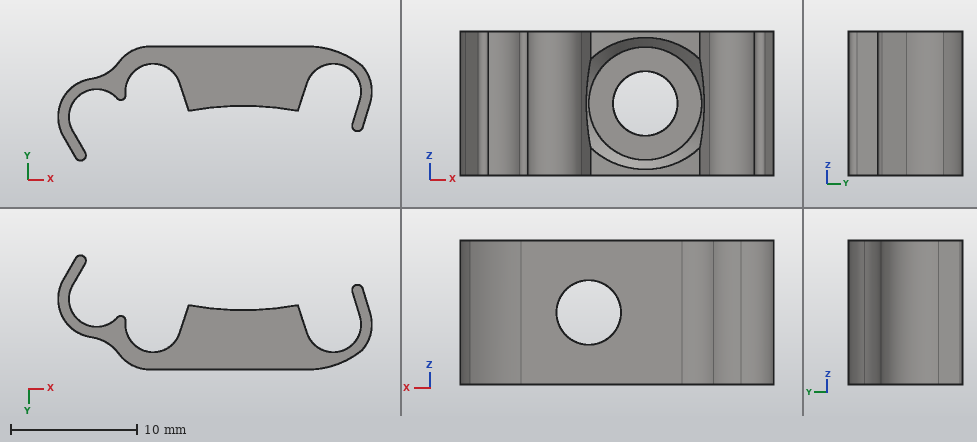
import cadquery as cq
import math

length = 24.85
width = 11.43

groove_radius = 2.19
lip_thickness = 0.87
shell_radius = groove_radius + lip_thickness
lip_mid_radius = groove_radius + lip_thickness / 2
roof_thickness = 1.4

low_groove = (shell_radius, -5.6)
middle_groove = (7.53, -roof_thickness - groove_radius)
end_groove = (length - shell_radius, middle_groove[1])

low_lip_lean = 30
end_lip_lean = 17
low_lip_length = 1.99
end_lip_length = 2.04

block_center_x = (middle_groove[0] + end_groove[0]) / 2
block_half_width = 4.32
block_corner_y = -5.12
block_arch_y = -4.72

back_start_x = 7.28
back_end_x = 20.05
shoulder_radius = shell_radius
saddle_radius = 3.23
back_round_mid = (22.48, -0.57)
back_round_end_angle = 42

ridge_radius = 0.37
ridge_mid_angle = 270

hole_diameter = 5.1
seat_diameter = 8.95
seat_rim_diameter = 10.43
seat_floor_y = -1.8
seat_taper_y = -3.85


def polar(center, radius, angle):
    """Point on a circle, with the angle in degrees counterclockwise from +X."""
    turn = math.radians(angle)
    return (center[0] + radius * math.cos(turn), center[1] + radius * math.sin(turn))


def direction(start, end):
    """Angle in degrees from one point to another."""
    return math.degrees(math.atan2(end[1] - start[1], end[0] - start[0]))


def make_profile():
    low_side = 180 + low_lip_lean
    low_tail = low_side + 90
    end_side = -end_lip_lean
    end_tail = end_side - 90
    low_tip = polar(polar(low_groove, lip_mid_radius, low_side), low_lip_length, low_tail)
    end_tip = polar(polar(end_groove, lip_mid_radius, end_side), end_lip_length, end_tail)
    cap = lip_thickness / 2

    shoulder_center = (back_start_x, -shoulder_radius)
    half_gap = math.dist(low_groove, shoulder_center) / 2
    gap_angle = direction(low_groove, shoulder_center)
    saddle_reach = shell_radius + saddle_radius
    saddle_offset = math.degrees(math.acos(half_gap / saddle_reach))
    saddle_start_angle = gap_angle + saddle_offset
    shoulder_end_angle = gap_angle + 180 - saddle_offset
    saddle_center = polar(low_groove, saddle_reach, saddle_start_angle)
    saddle_start = polar(low_groove, shell_radius, saddle_start_angle)
    saddle_mid = polar(saddle_center, saddle_radius, gap_angle - 90)
    shoulder_end = polar(shoulder_center, shoulder_radius, shoulder_end_angle)
    shoulder_mid = polar(shoulder_center, shoulder_radius, (90 + shoulder_end_angle) / 2)

    ridge_center_x = middle_groove[0] - groove_radius - ridge_radius
    ridge_rise = math.sqrt((groove_radius + ridge_radius) ** 2 - (ridge_center_x - low_groove[0]) ** 2)
    ridge_center = (ridge_center_x, low_groove[1] + ridge_rise)
    ridge_start_angle = direction(low_groove, ridge_center)

    block_left_corner = (block_center_x - block_half_width, block_corner_y)
    block_right_corner = (block_center_x + block_half_width, block_corner_y)
    corner_distance = math.dist(middle_groove, block_left_corner)
    tangent_offset = math.degrees(math.acos(groove_radius / corner_distance))
    left_flank_angle = direction(middle_groove, block_left_corner) + tangent_offset
    right_flank_angle = 180 - left_flank_angle

    return (
        cq.Workplane("XY")
        .moveTo(back_start_x, 0)
        .lineTo(back_end_x, 0)
        .threePointArc(back_round_mid, polar(end_groove, shell_radius, back_round_end_angle))
        .threePointArc(polar(end_groove, shell_radius, 0), polar(end_groove, shell_radius, end_side))
        .lineTo(*polar(end_tip, cap, end_side))
        .threePointArc(polar(end_tip, cap, end_tail), polar(end_tip, cap, end_side + 180))
        .lineTo(*polar(end_groove, groove_radius, end_side))
        .threePointArc(polar(end_groove, groove_radius, 90), polar(end_groove, groove_radius, right_flank_angle))
        .lineTo(*block_right_corner)
        .threePointArc((block_center_x, block_arch_y), block_left_corner)
        .lineTo(*polar(middle_groove, groove_radius, left_flank_angle))
        .threePointArc(polar(middle_groove, groove_radius, 90), polar(middle_groove, groove_radius, 180))
        .lineTo(*polar(ridge_center, ridge_radius, 0))
        .threePointArc(
            polar(ridge_center, ridge_radius, ridge_mid_angle),
            polar(low_groove, groove_radius, ridge_start_angle),
        )
        .threePointArc(polar(low_groove, groove_radius, 135), polar(low_groove, groove_radius, low_side))
        .lineTo(*polar(low_tip, cap, low_side + 180))
        .threePointArc(polar(low_tip, cap, low_tail), polar(low_tip, cap, low_side))
        .lineTo(*polar(low_groove, shell_radius, low_side))
        .threePointArc(polar(low_groove, shell_radius, 180), saddle_start)
        .threePointArc(saddle_mid, shoulder_end)
        .threePointArc(shoulder_mid, (back_start_x, 0))
        .close()
    )


def make_screw_seat():
    """Through hole, cylindrical seat and flared mouth, revolved about an axis along Y."""
    seat_radius = seat_diameter / 2
    rim_radius = seat_rim_diameter / 2
    flare = (rim_radius - seat_radius) / (seat_taper_y - block_arch_y)
    mouth_radius = rim_radius + flare * (block_arch_y - block_corner_y)
    return (
        cq.Workplane("XY")
        .moveTo(0, 0)
        .lineTo(hole_diameter / 2, 0)
        .lineTo(hole_diameter / 2, seat_floor_y)
        .lineTo(seat_radius, seat_floor_y)
        .lineTo(seat_radius, seat_taper_y)
        .lineTo(mouth_radius, block_corner_y)
        .lineTo(0, block_corner_y)
        .close()
        .revolve(360, (0, 0, 0), (0, 1, 0))
        .translate((block_center_x, 0, width / 2))
    )


body = make_profile().extrude(width)
result = body.cut(make_screw_seat())